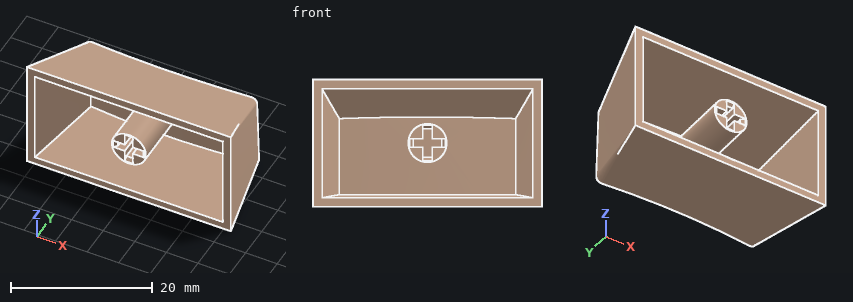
import cadquery as cq
import math


rim_width = 32.35
rim_height = 18.0
back_width = 27.05
back_bottom_y = 14.0
back_bottom_z = 0.4
back_height = 13.07
back_tilt = math.radians(3)
rim_corner_radius = 0.015
back_corner_radius = 1.0
dish_sag = 0.75
dish_radius = ((back_width / 2) ** 2 + dish_sag**2) / (2 * dish_sag)

wall_side = 1.3
wall_top = 1.35
wall_bottom = 1.25
floor_width = 24.9
floor_bottom_y = 12.62
floor_bottom_z = 1.7
floor_height = 10.75

stem_diameter = 5.45
stem_z = rim_height / 2
cross_mouth_span = 5.0
cross_inner_span = 3.98
lead_in_depth = (cross_mouth_span - cross_inner_span) / 2
flat_arm_thickness = 1.2
upright_arm_thickness = 1.3


def upright_plane(y, z, tilt=0.0):
    """Plane facing +Y with local y pointing up, leaning toward the rim by tilt."""
    return cq.Plane(
        origin=(0, y, z),
        xDir=(-1, 0, 0),
        normal=(0, math.cos(tilt), math.sin(tilt)),
    )


def rectangle_wire(plane, width, height, corner_radius=0):
    """Rectangle standing on the plane's origin, with optional rounded corners."""
    block = cq.Workplane(plane).center(0, height / 2).rect(width, height).extrude(0.32)
    if corner_radius:
        corners = cq.ParallelDirSelector(plane.zDir)
        block = block.edges(corners).fillet(corner_radius)
    back_side = cq.DirectionMinMaxSelector(plane.zDir, False)
    return block.faces(back_side).val().outerWire()


def dished_loft(rim_wire, back_plane, width, height, corner_radius=0):
    """Tapered body whose tilted back face is hollowed by a wide cylinder."""
    ruled = True
    back_wire = rectangle_wire(back_plane, width, height, corner_radius)
    body = cq.Workplane(cq.Solid.makeLoft([rim_wire, back_wire], ruled))
    axis_distance = math.sqrt(dish_radius**2 - (width / 2) ** 2)
    axis_start = back_plane.toWorldCoords((0, -height, axis_distance))
    dish = cq.Solid.makeCylinder(dish_radius, 3 * height, axis_start, back_plane.yDir)
    return body.cut(cq.Workplane(dish))


def make_shell():
    rim = rectangle_wire(upright_plane(0, 0), rim_width, rim_height, rim_corner_radius)
    back = upright_plane(back_bottom_y, back_bottom_z, back_tilt)
    return dished_loft(rim, back, back_width, back_height, back_corner_radius)


def make_cavity():
    opening_width = rim_width - 2 * wall_side
    opening_height = rim_height - wall_top - wall_bottom
    rim = rectangle_wire(upright_plane(0, wall_bottom), opening_width, opening_height)
    floor = upright_plane(floor_bottom_y, floor_bottom_z, back_tilt)
    return dished_loft(rim, floor, floor_width, floor_height)


def socket_arm(thickness):
    """Flat slot along X whose two ends slope inward just behind the mouth."""
    mouth = cross_mouth_span / 2
    inner = cross_inner_span / 2
    outline = [
        (-mouth, 0),
        (mouth, 0),
        (inner, lead_in_depth),
        (inner, floor_bottom_y),
        (-inner, floor_bottom_y),
        (-inner, lead_in_depth),
    ]
    return cq.Workplane("XY").polyline(outline).close().extrude(thickness / 2, both=True)


def make_stem():
    """Round post with its cross socket, running from the rim past the cavity floor."""
    post = cq.Workplane(upright_plane(0, 0)).circle(stem_diameter / 2).extrude(floor_bottom_y)
    flat_arm = socket_arm(flat_arm_thickness)
    upright_arm = socket_arm(upright_arm_thickness).rotate((0, 0, 0), (0, 1, 0), 90)
    post = post.cut(flat_arm).cut(upright_arm)
    return post.translate((0, 0, stem_z))


cavity = make_cavity()
free_stem = make_stem().intersect(cavity)
result = make_shell().cut(cavity).union(free_stem)